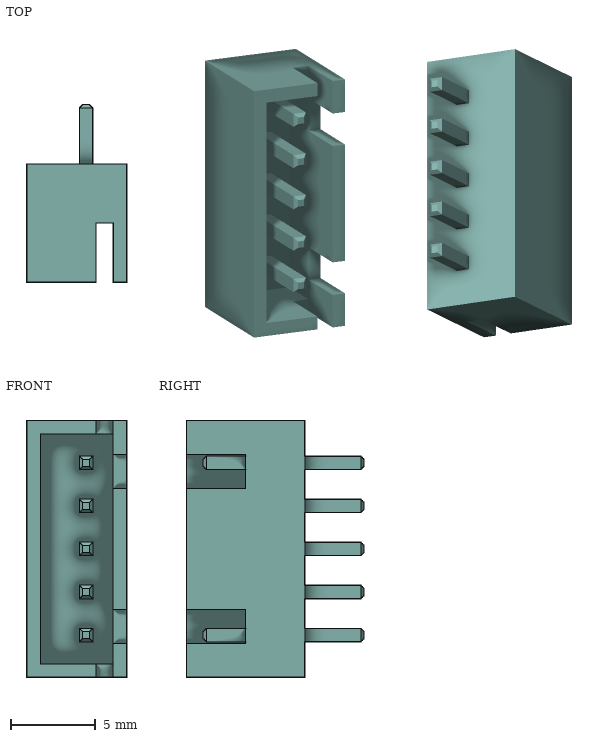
import cadquery as cq

pin_count = 5
pin_pitch = 2.54
pin_width = 0.8
pin_tip_chamfer = 0.2
pin_tip_recess = 1.0
pin_tail_length = 3.5

pin_end_margin = 2.5
housing_width = 5.9
housing_depth = 7.0
housing_height = (pin_count - 1) * pin_pitch + 2 * pin_end_margin
wall = 0.8
back_wall = wall
pin_axis_offset = 3.5

notch_depth = 3.5
end_notch_width = 1.0
side_notch_height = 2.0
side_notch_margin = 2.0

housing_left = -pin_axis_offset
housing_right = housing_left + housing_width
housing_bottom = -housing_height / 2
inner_right = housing_right - wall


def block(x_start, z_start, x_size, depth, z_size):
    """Box reaching back from the mouth plane by the given depth."""
    return cq.Workplane("XY").box(x_size, depth, z_size, centered=False).translate((x_start, 0, z_start))


def make_shell():
    """Housing box with a rectangular cavity open at the mouth."""
    body = block(housing_left, housing_bottom, housing_width, housing_depth, housing_height)
    cavity = block(
        housing_left + wall,
        housing_bottom + wall,
        housing_width - 2 * wall,
        housing_depth - back_wall,
        housing_height - 2 * wall,
    )
    return body.cut(cavity)


def cut_end_notches(body):
    """Slot both end walls alongside the +X wall."""
    notches = block(
        inner_right - end_notch_width, housing_bottom, end_notch_width, notch_depth, housing_height
    )
    return body.cut(notches)


def cut_side_notches(body):
    """Cut two notches through the +X wall, one near each end."""
    lower_start = housing_bottom + side_notch_margin
    upper_start = -lower_start - side_notch_height
    for z_start in (lower_start, upper_start):
        body = body.cut(block(inner_right, z_start, wall, notch_depth, side_notch_height))
    return body


def make_pin(z_center):
    """Square pin along Y with both tips chamfered."""
    pin_length = housing_depth - pin_tip_recess + pin_tail_length
    pin = cq.Workplane("XY").box(pin_width, pin_length, pin_width, centered=(True, False, True))
    pin = pin.faces("<Y or >Y").chamfer(pin_tip_chamfer)
    return pin.translate((0, pin_tip_recess, z_center))


def add_pins(body):
    """Add the row of pins through the back wall."""
    first_pin_z = housing_bottom + pin_end_margin
    for index in range(pin_count):
        body = body.union(make_pin(first_pin_z + index * pin_pitch))
    return body


housing = cut_side_notches(cut_end_notches(make_shell()))
result = add_pins(housing)